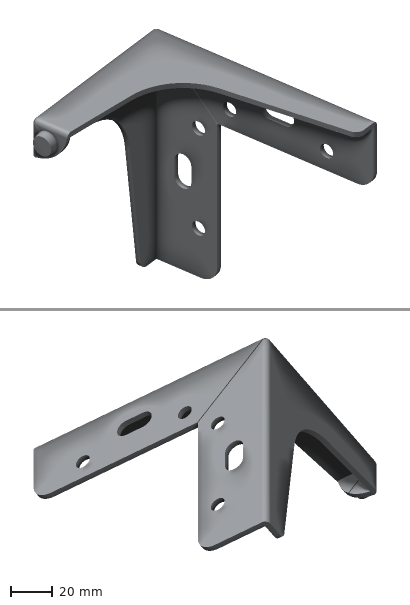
import cadquery as cq
import math


ARM_LENGTH = 135.0
LEG_LENGTH = 100.0
TOTAL_DEPTH = 104.5
SHEET = 3.0

ARM_TIP_WIDTH = 15.0
LEG_TIP_WIDTH = 22.0
INNER_CORNER_ALONG = 30.2
INNER_CORNER_DEPTH = 28.0
INNER_RADIUS = 35.0
ARM_TIP_RADIUS = 5.0

FLANGE_WIDTH = 40.0
FLANGE_RADIUS = 10.0
HOLE_DIAMETER = 8.0
HOLE_POSITIONS = (47.5, 106.5)
HOLE_INSET = 28.5
SLOT_POSITION = 76.7
SLOT_INSET = 19.0
SLOT_LENGTH = 20.0
SLOT_WIDTH = 10.3

SLIT_WIDTH = 0.7

FOOT_INSET = 10.0
FOOT_BASE_DIAMETER = 12.7
FOOT_TIP_DIAMETER = 11.1
FOOT_HEIGHT = TOTAL_DEPTH - LEG_LENGTH


def make_bent_shell():
    """Hollow corner with four walls, rounded outside and sharp inside."""
    outer = cq.Workplane("XY").box(ARM_LENGTH, LEG_LENGTH, ARM_LENGTH, centered=False)
    outer = outer.translate((0, -LEG_LENGTH, -ARM_LENGTH))
    bends = outer.edges("(<X and >Z) or (<X and >Y) or (<X and <Y) or (>Z and >Y) or (>Z and <Y)")
    outer = bends.fillet(SHEET)
    cavity = cq.Workplane("XY").box(
        ARM_LENGTH, LEG_LENGTH - 2 * SHEET, ARM_LENGTH, centered=False
    )
    cavity = cavity.translate((SHEET, SHEET - LEG_LENGTH, -ARM_LENGTH - SHEET))
    return outer.cut(cavity)


def make_top_panel():
    """Flat outline of the top panel, one sheet thick."""
    panel = (
        cq.Workplane("XY")
        .polyline([
            (0, 0),
            (ARM_LENGTH, 0),
            (ARM_LENGTH, -ARM_TIP_WIDTH),
            (INNER_CORNER_ALONG, -INNER_CORNER_DEPTH),
            (LEG_TIP_WIDTH, -LEG_LENGTH),
            (0, -LEG_LENGTH),
        ])
        .close()
        .extrude(-SHEET)
    )
    inner_corner = cq.selectors.NearestToPointSelector(
        (INNER_CORNER_ALONG, -INNER_CORNER_DEPTH, -SHEET / 2)
    )
    panel = panel.edges(inner_corner).fillet(INNER_RADIUS)
    arm_tip = cq.selectors.NearestToPointSelector((ARM_LENGTH, -ARM_TIP_WIDTH, -SHEET / 2))
    return panel.edges(arm_tip).fillet(ARM_TIP_RADIUS)


def make_back_flange():
    """Back flange of the top arm, with its holes and slot; local Y is Z."""
    flange = (
        cq.Workplane("XZ")
        .polyline([
            (0, 0),
            (ARM_LENGTH, 0),
            (ARM_LENGTH, -FLANGE_WIDTH),
            (FLANGE_WIDTH, -FLANGE_WIDTH),
        ])
        .close()
        .extrude(SHEET)
    )
    flange = flange.edges("|Y and >X and <Z").fillet(FLANGE_RADIUS)
    holes = (
        cq.Workplane("XZ")
        .pushPoints([(along, -HOLE_INSET) for along in HOLE_POSITIONS])
        .circle(HOLE_DIAMETER / 2)
        .extrude(SHEET)
    )
    slot = (
        cq.Workplane("XZ")
        .center(SLOT_POSITION, -SLOT_INSET)
        .slot2D(SLOT_LENGTH, SLOT_WIDTH)
        .extrude(SHEET)
    )
    return flange.cut(holes).cut(slot)


def mirror_to_side(shape):
    """Mirror about the plane Z = -X, turning a top part into a side part."""
    turned = shape.rotate((0, 0, 0), (0, 1, 0), 90)
    return turned.mirror("YZ")


def make_end_plate():
    """Quarter disc that closes the leg, centred on the outer corner."""
    quarter_arc = LEG_TIP_WIDTH * math.sqrt(0.5)
    return (
        cq.Workplane("XZ", origin=(0, SHEET - LEG_LENGTH, 0))
        .lineTo(LEG_TIP_WIDTH, 0)
        .threePointArc((quarter_arc, -quarter_arc), (0, -LEG_TIP_WIDTH))
        .close()
        .extrude(SHEET)
    )


def make_slit(front_y):
    """Diagonal cutter, one sheet thick, from the outer corner to the inner flange corner."""
    length = 2 * FLANGE_WIDTH
    cutter = cq.Workplane("XY").box(length, SHEET, SLIT_WIDTH, centered=(False, False, True))
    cutter = cutter.rotate((0, 0, 0), (0, 1, 0), 45)
    return cutter.translate((0, front_y, 0))


def make_bracket():
    top_panel = make_top_panel()
    back_flange = make_back_flange()
    walls = (
        top_panel
        .union(mirror_to_side(top_panel))
        .union(back_flange)
        .union(mirror_to_side(back_flange))
        .union(make_end_plate())
    )
    plain_bracket = make_bent_shell().intersect(walls)
    back_slit = make_slit(-SHEET)
    end_plate_slit = make_slit(-LEG_LENGTH)
    return plain_bracket.cut(back_slit).cut(end_plate_slit).solids()


def make_foot():
    """Tapered foot standing on the outside of the end plate."""
    return (
        cq.Workplane("XZ", origin=(FOOT_INSET, -LEG_LENGTH, -FOOT_INSET))
        .circle(FOOT_BASE_DIAMETER / 2)
        .workplane(offset=FOOT_HEIGHT)
        .circle(FOOT_TIP_DIAMETER / 2)
        .loft()
    )


bracket = make_bracket()
foot = make_foot()
result = cq.Compound.makeCompound([bracket.val(), foot.val()])